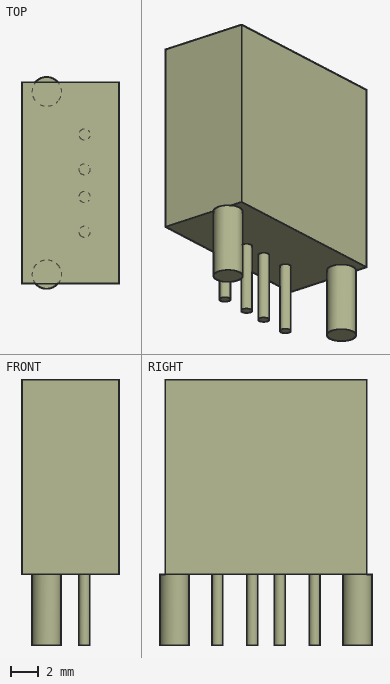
import cadquery as cq

housing_width = 7.0
housing_length = 14.5
total_height = 19.1
pin_length = 5.1
housing_height = total_height - pin_length

post_diameter = 2.1
post_x = -1.72
outer_length = 15.25
post_y = (outer_length - post_diameter) / 2

contact_diameter = 0.8
contact_x = 1.0
inner_contact_y = 1.0
outer_contact_y = 3.5


def make_housing():
    return cq.Workplane("XY").box(
        housing_width, housing_length, housing_height, centered=(True, True, False)
    )


def make_pin(diameter, x, y):
    """Round pin hanging from the underside of the housing."""
    return cq.Workplane("XY").center(x, y).circle(diameter / 2).extrude(-pin_length)


housing = make_housing()
posts = [make_pin(post_diameter, post_x, y) for y in (-post_y, post_y)]
contacts = [
    make_pin(contact_diameter, contact_x, side * y)
    for y in (inner_contact_y, outer_contact_y)
    for side in (-1, 1)
]

result = cq.Compound.makeCompound(
    [housing.val()] + [pin.val() for pin in posts + contacts]
)